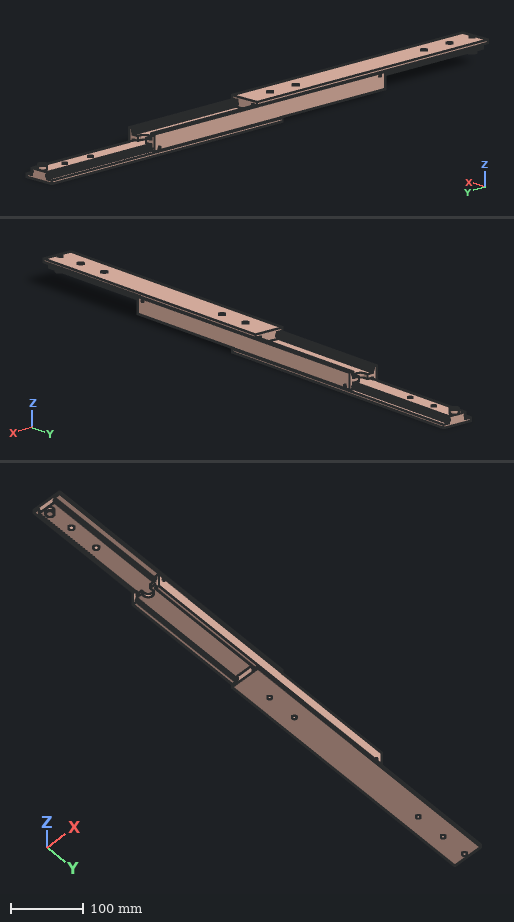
import cadquery as cq

WIDTH = 50
TOTAL_HEIGHT = 38
MEMBER_LENGTH = 450
TRAVEL = 200
TOTAL_LENGTH = MEMBER_LENGTH + 2 * TRAVEL
TOP_Z = TOTAL_HEIGHT / 2

PLATE_THICKNESS = 5
BLOCK_WIDTH = 30
BLOCK_HEIGHT = 10
PLATE_INNER_Z = TOP_Z - PLATE_THICKNESS
BLOCK_END_Z = PLATE_INNER_Z - BLOCK_HEIGHT

SLIDER_HEIGHT = 25
FLANGE_THICKNESS = 7
WEB_THICKNESS = 7
FLANGE_INNER_X = WIDTH / 2 - FLANGE_THICKNESS

TRACK_Z = (PLATE_INNER_Z + BLOCK_END_Z) / 2
TRACK_WIDTH = 5
TRACK_DEPTH = 1.5

UPPER_HOLE_DIAMETER = 8.5
LOWER_HOLE_DIAMETER = 6.5
MOUNTING_HOLE_PLACES = [50, 100, 350, 400]

STOP_DIAMETER = 13
STOP_PLACE = STOP_DIAMETER / 2
STOP_HEIGHT = 7.5
STOP_CHAMFER = 1
STOP_HOLE_DIAMETER = 7
STOP_HOLE_DEPTH = 11

NOTCH_WIDTH = 16
NOTCH_DEPTH = 13
CROSS_HOLE_DIAMETER = 3
CROSS_HOLE_PLACE = 10


def box(x_size, y_min, y_max, z_min, z_max):
    """A box centred on X = 0."""
    return (
        cq.Workplane("XY", origin=(0, (y_min + y_max) / 2, z_min))
        .rect(x_size, y_max - y_min)
        .extrude(z_max - z_min)
    )


def track_groove(face_x, depth_x, track_z, y_min):
    """A V-groove along Y in a face at face_x, with its bottom depth_x away from the face."""
    half = TRACK_WIDTH / 2
    return (
        cq.Workplane("XZ", origin=(0, y_min, 0))
        .polyline([(face_x, track_z - half), (face_x + depth_x, track_z), (face_x, track_z + half)])
        .close()
        .extrude(-MEMBER_LENGTH)
    )


def make_rail(hole_diameter):
    """A rail in the upper place, with its outer end at Y = 0."""
    rail = box(WIDTH, 0, MEMBER_LENGTH, PLATE_INNER_Z, TOP_Z)
    rail = rail.union(box(BLOCK_WIDTH, 0, MEMBER_LENGTH, BLOCK_END_Z, PLATE_INNER_Z))
    for side in (-1, 1):
        rail = rail.cut(track_groove(side * BLOCK_WIDTH / 2, -side * TRACK_DEPTH, TRACK_Z, 0))

    mounting_holes = (
        cq.Workplane("XY", origin=(0, 0, BLOCK_END_Z))
        .pushPoints([(0, place) for place in MOUNTING_HOLE_PLACES])
        .circle(hole_diameter / 2)
        .extrude(TOP_Z - BLOCK_END_Z)
    )
    stop_button = (
        cq.Workplane("XY", origin=(0, STOP_PLACE, BLOCK_END_Z))
        .circle(STOP_DIAMETER / 2)
        .extrude(-STOP_HEIGHT)
        .faces("<Z")
        .chamfer(STOP_CHAMFER)
    )
    stop_hole = (
        cq.Workplane("XY", origin=(0, STOP_PLACE, TOP_Z))
        .circle(STOP_HOLE_DIAMETER / 2)
        .extrude(-STOP_HOLE_DEPTH)
    )
    return rail.cut(mounting_holes).union(stop_button).cut(stop_hole)


def make_slider():
    """The H-section slider in the middle of the assembly."""
    y_min = TRAVEL
    y_max = TRAVEL + MEMBER_LENGTH
    half_height = SLIDER_HEIGHT / 2
    slider = box(WIDTH, y_min, y_max, -half_height, half_height)
    for z_min, z_max in ((-half_height, -WEB_THICKNESS / 2), (WEB_THICKNESS / 2, half_height)):
        slider = slider.cut(box(2 * FLANGE_INNER_X, y_min, y_max, z_min, z_max))

    for side in (-1, 1):
        for track_z in (-TRACK_Z, TRACK_Z):
            slider = slider.cut(track_groove(side * FLANGE_INNER_X, side * TRACK_DEPTH, track_z, y_min))

    notch_radius = NOTCH_WIDTH / 2
    notch_straight = NOTCH_DEPTH - notch_radius
    for end_y, inward in ((y_min, 1), (y_max, -1)):
        notch = (
            cq.Workplane("XY", origin=(0, end_y, -WEB_THICKNESS / 2))
            .moveTo(-notch_radius, 0)
            .lineTo(-notch_radius, inward * notch_straight)
            .threePointArc((0, inward * NOTCH_DEPTH), (notch_radius, inward * notch_straight))
            .lineTo(notch_radius, 0)
            .close()
            .extrude(WEB_THICKNESS)
        )
        slider = slider.cut(notch)

    for hole_y, hole_z in ((y_min + CROSS_HOLE_PLACE, TRACK_Z), (y_max - CROSS_HOLE_PLACE, -TRACK_Z)):
        cross_hole = (
            cq.Workplane("YZ", origin=(-WIDTH / 2, hole_y, hole_z))
            .circle(CROSS_HOLE_DIAMETER / 2)
            .extrude(WIDTH)
        )
        slider = slider.cut(cross_hole)
    return slider


upper_rail = make_rail(UPPER_HOLE_DIAMETER)
slider = make_slider()
mid_y = TOTAL_LENGTH / 2
lower_rail = make_rail(LOWER_HOLE_DIAMETER).rotate((0, mid_y, 0), (1, mid_y, 0), 180)

result = cq.Compound.makeCompound([upper_rail.val(), slider.val(), lower_rail.val()])